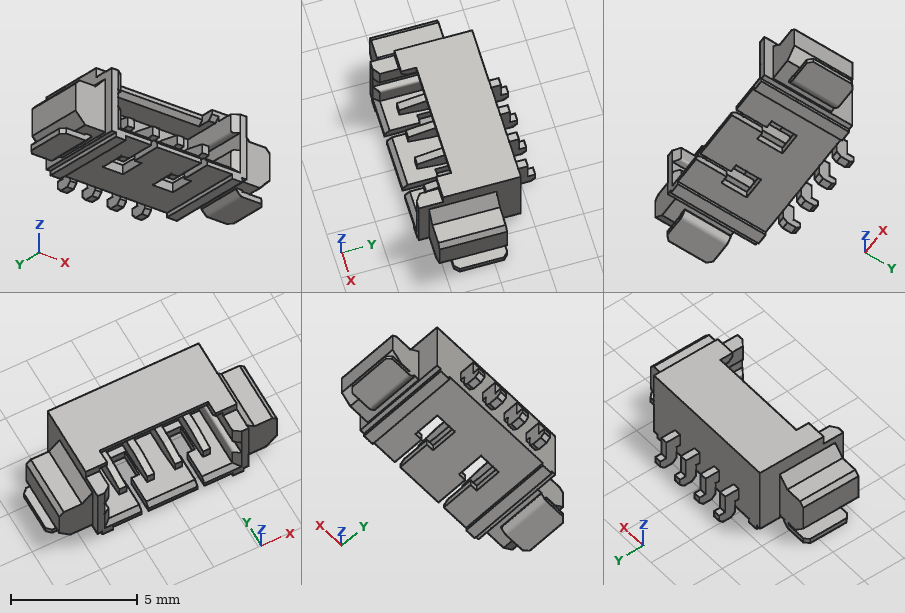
import cadquery as cq
import math


body_width = 6.76
body_depth = 4.2
body_bottom = 0.19
body_top = 3.4
side_wall = 0.31
step_depth = 0.99
step_top = 2.99
foot_width = 0.5
foot_inset = 0.21

cavity_back = 2.97
floor_top = 0.6
ceiling = step_top
mouth_bevel = 0.21
rib_thickness = 0.3
groove_bottom = 1.4
groove_top = 2.16
rib_round = 0.1
notch_width = 4.85
notch_back = 1.61

pin_count = 4
pitch = 1.25
pin_width = 0.32
pin_tip = 0.7
taper_end = 1.7
tip_bottom = 1.13
tip_top = 1.52
blade_bottom = 0.97
blade_top = 1.7
tail_end = 5.2
tail_bottom = 0.79
tail_top = 1.38
leg_front = 4.38
leg_back = 4.89
toe_top = 0.49
toe_chamfer = 0.19

slot_width = 0.3
slot_offset = pitch
window_width = 1.0
window_front = 1.46
window_back = 2.66

wing_front = 0.42
wing_back = 3.2
wing_reach = 4.87
wing_bottom = 0.3
wing_top = 2.19
gusset = 0.48
wing_top_chamfer = 0.2
wing_bottom_chamfer = 0.49
clip_reach = 5.08
clip_front = step_depth
clip_thickness = 0.24
clip_bend = 3.97
clip_chamfer = 0.19
clip_rise = 0.18

half_body = body_width / 2
half_mouth = half_body - side_wall
half_cavity = half_mouth - rib_thickness


def box(x0, x1, y0, y1, z0, z1):
    """Box between the given limits."""
    return cq.Workplane("XY").box(x1 - x0, y1 - y0, z1 - z0, centered=False).translate((x0, y0, z0))


def along_x(points, x0, x1):
    """Extrude a (Y, Z) outline from x0 to x1."""
    return cq.Workplane("YZ", origin=(x0, 0, 0)).polyline(points).close().extrude(x1 - x0)


def both_ends(shape):
    """The shape together with its mirror image at the other end."""
    return shape.union(shape.mirror("YZ"))


def make_shell():
    """Outer block with lowered front corners and two long feet."""
    shell = box(-half_body, half_body, 0, body_depth, body_bottom, body_top)
    shell = shell.cut(box(-half_body, half_body, 0, step_depth, step_top, body_top))
    foot_outer = half_body - foot_inset
    foot = box(foot_outer - foot_width, foot_outer, 0, body_depth, 0, body_bottom)
    return shell.union(both_ends(foot))


def roof_bevel(edge, half_width):
    """Wedge that bevels the underside of a roof edge."""
    wedge = [(edge, ceiling), (edge + mouth_bevel, ceiling), (edge, ceiling + mouth_bevel)]
    return along_x(wedge, -half_width, half_width)


def make_cavity():
    """Space inside the housing: main pocket, flared mouth, side grooves and roof cut-out."""
    pocket = box(-half_cavity, half_cavity, 0, cavity_back, floor_top, ceiling)
    groove = box(-half_mouth, half_mouth, 0, cavity_back, groove_bottom, groove_top)
    rib_corner = box(half_cavity, half_cavity + rib_round, 0, cavity_back,
                     groove_bottom - rib_round, groove_top + rib_round)
    for z in (groove_bottom - rib_round, groove_top + rib_round):
        rod = cq.Workplane("XZ", origin=(half_cavity + rib_round, 0, z)).circle(rib_round)
        rib_corner = rib_corner.cut(rod.extrude(-cavity_back))

    flare = (
        cq.Workplane("XZ", origin=(0, 0, ceiling))
        .rect(2 * half_mouth, 2 * (ceiling - floor_top + mouth_bevel))
        .workplane(offset=-mouth_bevel)
        .rect(2 * half_cavity, 2 * (ceiling - floor_top))
        .loft(ruled=True)
    )
    flare = flare.intersect(box(-half_body, half_body, 0, mouth_bevel, 0, ceiling))
    cavity = pocket.union(groove).union(both_ends(rib_corner)).union(flare)

    half_notch = notch_width / 2
    cavity = cavity.union(box(-half_notch, half_notch, 0, notch_back, ceiling, body_top))
    cavity = cavity.union(roof_bevel(step_depth, half_cavity))
    return cavity.union(roof_bevel(notch_back, half_notch))


def make_floor_slot():
    """Slot in the floor that widens into a window between two contacts."""
    slot = box(-slot_width / 2, slot_width / 2, 0, window_front, 0, floor_top)
    window = box(-window_width / 2, window_width / 2, window_front, window_back, 0, floor_top)
    return slot.union(window)


def make_pin():
    """Contact: tapered blade in the cavity and a tail stepping down to the board."""
    blade = along_x(
        [
            (pin_tip, tip_bottom),
            (pin_tip, tip_top),
            (taper_end, blade_top),
            (cavity_back, blade_top),
            (cavity_back, blade_bottom),
            (taper_end, blade_bottom),
        ],
        -pin_width / 2,
        pin_width / 2,
    )
    tail = along_x(
        [
            (cavity_back, tail_top),
            (leg_back, tail_top),
            (leg_back, toe_top),
            (tail_end, toe_top),
            (tail_end, toe_chamfer),
            (tail_end - toe_chamfer, 0),
            (leg_front + toe_chamfer, 0),
            (leg_front, toe_chamfer),
            (leg_front, tail_bottom),
            (cavity_back, tail_bottom),
        ],
        -pin_width / 2,
        pin_width / 2,
    )
    return blade.union(tail)


def make_wing():
    """Solid ear on the +X end of the housing."""
    shoulder = half_body + gusset
    outline = [
        (half_body, wing_bottom),
        (wing_reach - wing_bottom_chamfer, wing_bottom),
        (wing_reach, wing_bottom + wing_bottom_chamfer),
        (wing_reach, wing_top - wing_top_chamfer),
        (wing_reach - wing_top_chamfer, wing_top),
        (shoulder, wing_top),
        (half_body, wing_top + gusset),
    ]
    profile = cq.Workplane("XZ", origin=(0, wing_front, 0)).polyline(outline).close()
    return profile.extrude(wing_front - wing_back)


def make_clip():
    """Solder clip under the +X wing: flat plate bent upward at 45 degrees into the wing."""

    def bend_point(angle):
        """Point on the outer bend, which is centred on the sharp inner bend."""
        return (
            clip_bend - clip_thickness * math.sin(angle),
            clip_thickness - clip_thickness * math.cos(angle),
        )

    bend_end = bend_point(math.pi / 4)
    plate = (
        cq.Workplane("XZ", origin=(0, clip_front, 0))
        .moveTo(clip_reach, clip_thickness)
        .lineTo(clip_reach, 0)
        .lineTo(clip_bend, 0)
        .threePointArc(bend_point(math.pi / 8), bend_end)
        .lineTo(bend_end[0] - clip_rise, bend_end[1] + clip_rise)
        .lineTo(clip_bend - clip_rise, clip_thickness + clip_rise)
        .lineTo(clip_bend, clip_thickness)
        .close()
        .extrude(clip_front - wing_back)
    )
    return plate.edges("|Z and >X").chamfer(clip_chamfer)


housing = make_shell().cut(make_cavity())
housing = housing.cut(both_ends(make_floor_slot().translate((slot_offset, 0, 0))))

result = housing.union(both_ends(make_wing())).union(both_ends(make_clip()))
for index in range(pin_count):
    pin_x = (index - (pin_count - 1) / 2) * pitch
    result = result.union(make_pin().translate((pin_x, 0, 0)))